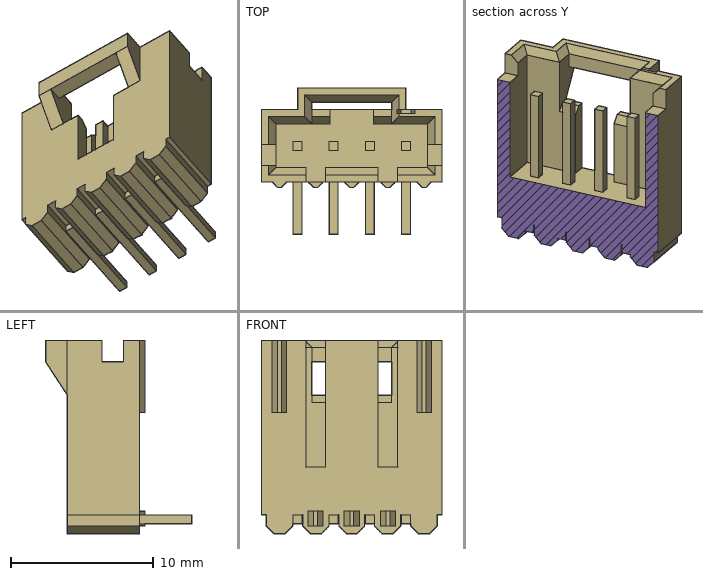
import cadquery as cq

PIN_COUNT = 4
PITCH = 2.54
PIN_SIZE = 0.635
PIN_TAIL = 3.67
PIN_RISE = 6.35

WIDTH = 12.7
DEPTH = 5.10
HEIGHT = 13.59
WALL = 1.016
BEVEL = WALL / 2
FLOOR_Z = 4.70

HOOD_WIDTH = 3 * PITCH
HOOD_DEPTH = 1.52
HOOD_BOTTOM_Z = 12.08
WINDOW_BOTTOM_Z = 9.75

KEY_WIDTH = 3.03
TONGUE_WIDTH = 3.70
SLOT_WIDTH = 1.38
NOTCH_FRONT_Y = 1.15
NOTCH_WIDTH = 1.50
NOTCH_DEPTH = 1.50

FOOT_COUNT = PIN_COUNT + 1
SHOULDER_Z = 1.34
SHOULDER_INSET = 0.33
FOOT_CHAMFER = 0.55
GAP_CLEARANCE = 0.04

RIB_HEIGHT = 0.38
RIB_BASE = 1.02
RIB_TIP = 0.28
RIB_LENGTH = 5.08
BUMP_BASE = 1.06
BUMP_TIP = 0.28
BUMP_BOTTOM_Z = 0.55
BUMP_LENGTH = 1.05

MARK_TOP_WIDTH = 1.30
MARK_FLOOR_WIDTH = 0.72
MARK_DEPTH = 1.50
MARK_LENGTH = 0.28

CAVITY_WIDTH = WIDTH - 2 * WALL
CAVITY_DEPTH = DEPTH - 2 * WALL
WINDOW_WIDTH = HOOD_WIDTH - 2 * WALL
HOOD_BACK_Y = DEPTH + HOOD_DEPTH
PIN_Y = DEPTH / 2
PIN_XS = [(i - (PIN_COUNT - 1) / 2) * PITCH for i in range(PIN_COUNT)]
FOOT_XS = [(i - (FOOT_COUNT - 1) / 2) * PITCH for i in range(FOOT_COUNT)]


def block(x_range, y_range, z_range):
    """Axis-aligned box from its (low, high) limits."""
    low, high = zip(x_range, y_range, z_range)
    size = [b - a for a, b in zip(low, high)]
    return cq.Workplane("XY").box(*size, centered=False).translate(low)


def centred(width, middle=0.0):
    """(low, high) limits of a span of the given width."""
    return (middle - width / 2, middle + width / 2)


def flared_mouth(width, y_range, flare_front=BEVEL):
    """Frustum widening a hole towards the top: by the bevel at sides and back, by flare_front in front."""
    front, back = y_range
    low_z = HEIGHT - BEVEL

    def outline(half_width, front_y, back_y, z):
        corners = [
            cq.Vector(-half_width, front_y, z),
            cq.Vector(half_width, front_y, z),
            cq.Vector(half_width, back_y, z),
            cq.Vector(-half_width, back_y, z),
        ]
        return cq.Wire.makePolygon(corners, close=True)

    lower = outline(width / 2, front, back, low_z)
    upper = outline(width / 2 + BEVEL, front - flare_front, back + BEVEL, HEIGHT)
    return cq.Workplane(obj=cq.Solid.makeLoft([lower, upper], True))


def housing_body():
    """Plain block with the latch hood on its back."""
    body = block(centred(WIDTH), (0, DEPTH), (0, HEIGHT))
    hood_profile = [
        (DEPTH, HEIGHT),
        (HOOD_BACK_Y, HEIGHT),
        (HOOD_BACK_Y, HOOD_BOTTOM_Z),
        (DEPTH, WINDOW_BOTTOM_Z),
    ]
    hood = cq.Workplane("YZ").polyline(hood_profile).close().extrude(HOOD_WIDTH / 2, both=True)
    return body.union(hood)


def cavity():
    """Mating cavity with its bevelled mouth and the opening under the latch hood."""
    cavity_y = (WALL, WALL + CAVITY_DEPTH)
    hood_y = (PIN_Y, HOOD_BACK_Y - WALL)
    main = block(centred(CAVITY_WIDTH), cavity_y, (FLOOR_Z, HEIGHT))
    under_hood = block(centred(WINDOW_WIDTH), hood_y, (WINDOW_BOTTOM_Z, HEIGHT))
    behind_hood = block(centred(WINDOW_WIDTH), (PIN_Y, HOOD_BACK_Y), (WINDOW_BOTTOM_Z, HOOD_BOTTOM_Z))
    cut = main.union(under_hood).union(behind_hood)
    cut = cut.union(flared_mouth(CAVITY_WIDTH, cavity_y))
    return cut.union(flared_mouth(WINDOW_WIDTH, hood_y, flare_front=0))


def window_sill_bevel():
    """45 degree bevel on the inner edge of the back wall below the latch window."""
    inner_y = DEPTH - WALL
    corner = [
        (inner_y, WINDOW_BOTTOM_Z),
        (inner_y + BEVEL, WINDOW_BOTTOM_Z),
        (inner_y, WINDOW_BOTTOM_Z - BEVEL),
    ]
    return cq.Workplane("YZ").polyline(corner).close().extrude(WINDOW_WIDTH / 2, both=True)


def key_cuts():
    """Gap in the back wall, two slots in the front wall and a notch in both end walls."""
    cut = block(centred(KEY_WIDTH), (PIN_Y, DEPTH), (FLOOR_Z, HOOD_BOTTOM_Z))
    notch_y = (NOTCH_FRONT_Y, NOTCH_FRONT_Y + NOTCH_WIDTH)
    cut = cut.union(block(centred(WIDTH), notch_y, (HEIGHT - NOTCH_DEPTH, HEIGHT)))
    for side in (-1, 1):
        slot_x = centred(SLOT_WIDTH, side * (TONGUE_WIDTH + SLOT_WIDTH) / 2)
        cut = cut.union(block(slot_x, (0, PIN_Y), (FLOOR_Z, HEIGHT)))
    return cut


def pin_one_mark():
    """Tapered recess in the rim of the back wall, level with the last contact."""
    middle = PIN_XS[-1]
    profile = [
        (middle - MARK_TOP_WIDTH / 2, HEIGHT),
        (middle + MARK_TOP_WIDTH / 2, HEIGHT),
        (middle + MARK_FLOOR_WIDTH / 2, HEIGHT - MARK_DEPTH),
        (middle - MARK_FLOOR_WIDTH / 2, HEIGHT - MARK_DEPTH),
    ]
    return cq.Workplane("XZ", origin=(0, DEPTH, 0)).polyline(profile).close().extrude(MARK_LENGTH)


def foot_cuts():
    """Everything removed below the shoulder to leave the row of chamfered feet."""
    cut = block(centred(WIDTH), (0, DEPTH), (0, SHOULDER_Z))
    for x in FOOT_XS:
        left = x - (PITCH - PIN_SIZE) / 2
        right = x + (PITCH - PIN_SIZE) / 2
        if x == FOOT_XS[0]:
            left = -WIDTH / 2 + SHOULDER_INSET
        elif x <= 0:
            left += GAP_CLEARANCE
        if x == FOOT_XS[-1]:
            right = WIDTH / 2 - SHOULDER_INSET
        elif x >= 0:
            right -= GAP_CLEARANCE
        profile = [
            (left, SHOULDER_Z),
            (left, FOOT_CHAMFER),
            (left + FOOT_CHAMFER, 0),
            (right - FOOT_CHAMFER, 0),
            (right, FOOT_CHAMFER),
            (right, SHOULDER_Z),
        ]
        foot = cq.Workplane("XZ").polyline(profile).close().extrude(-DEPTH)
        cut = cut.cut(foot)
    return cut


def front_rib(x, base, tip, bottom_z, length):
    """Vertical trapezoidal rib standing on the front face."""
    profile = [
        (x - base / 2, 0),
        (x - tip / 2, -RIB_HEIGHT),
        (x + tip / 2, -RIB_HEIGHT),
        (x + base / 2, 0),
    ]
    return cq.Workplane("XY", origin=(0, 0, bottom_z)).polyline(profile).close().extrude(length)


def contact(x):
    """Bent contact: a tail running forward under the housing and a pin rising into the cavity."""
    pin_x = centred(PIN_SIZE, x)
    pin_y = centred(PIN_SIZE, PIN_Y)
    tail_bottom_z = SHOULDER_Z - PIN_SIZE
    tail = block(pin_x, (-PIN_TAIL, pin_y[1]), (tail_bottom_z, SHOULDER_Z))
    return tail.union(block(pin_x, pin_y, (tail_bottom_z, FLOOR_Z + PIN_RISE)))


result = housing_body()
for removed in (cavity(), window_sill_bevel(), key_cuts(), pin_one_mark(), foot_cuts()):
    result = result.cut(removed)

for rib_x in (FOOT_XS[0], FOOT_XS[-1]):
    result = result.union(front_rib(rib_x, RIB_BASE, RIB_TIP, HEIGHT - RIB_LENGTH, RIB_LENGTH))

for bump_x in FOOT_XS[1:-1]:
    result = result.union(front_rib(bump_x, BUMP_BASE, BUMP_TIP, BUMP_BOTTOM_Z, BUMP_LENGTH))

for contact_x in PIN_XS:
    result = result.union(contact(contact_x))